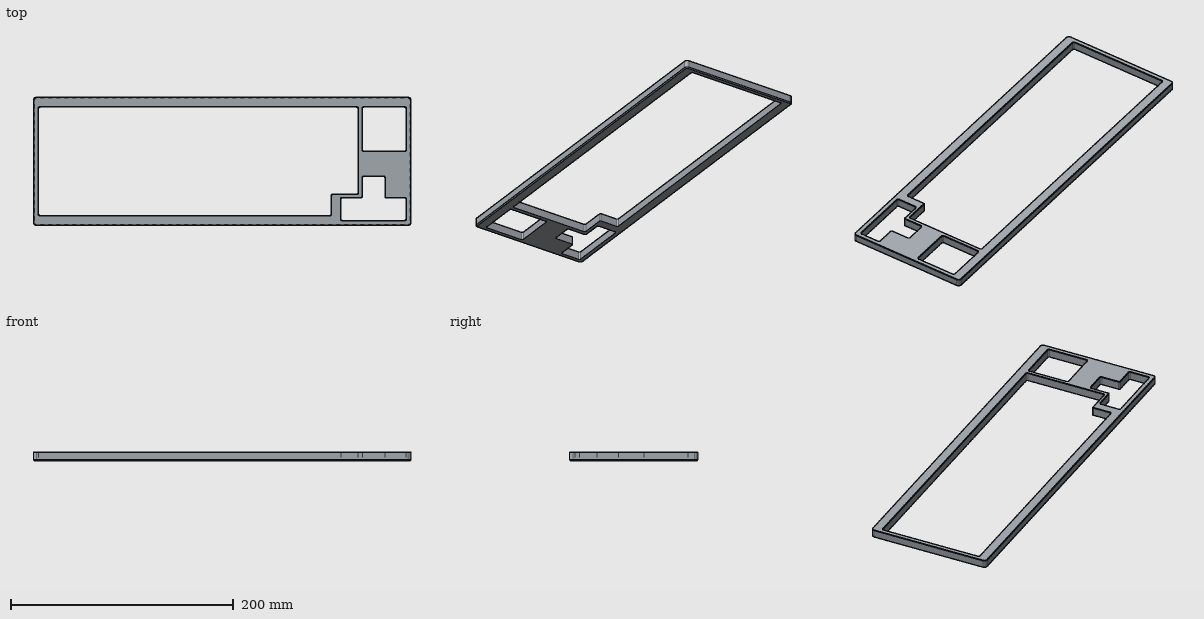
import cadquery as cq

length = 339.0
width = 115.3
thickness = 8.0
outer_radius = 3.0
bottom_chamfer = 1.0
top_chamfer = 0.5

corner_radius = 1.25
side_margin = 4.7
main_margin = 9.0
main_length = 286.5
step_length = 24.0
step_depth = 19.0
cluster_width = 39.0
cluster_depth = 39.5
arrow_margin = 4.7
arrow_length = 58.3
key_opening = 20.0

main_left = -length / 2 + side_margin
main_right = main_left + main_length
main_top = width / 2 - main_margin
main_bottom = -main_top
step_x = main_right - step_length
step_y = main_bottom + step_depth

cluster_right = length / 2 - side_margin
cluster_left = cluster_right - cluster_width
square_bottom = main_top - cluster_depth

arrow_left = cluster_right - arrow_length
arrow_bottom = -width / 2 + arrow_margin
arrow_top = arrow_bottom + cluster_depth
arrow_shoulder = arrow_bottom + key_opening
up_key_right = cluster_left + key_opening


def cutout(points):
    """Through-cutter with rounded vertical corners."""
    cutter = cq.Workplane("XY").polyline(points).close().extrude(thickness)
    return cutter.edges("|Z").fillet(corner_radius)


main_cutout = cutout([
    (main_left, main_top),
    (main_right, main_top),
    (main_right, step_y),
    (step_x, step_y),
    (step_x, main_bottom),
    (main_left, main_bottom),
])
square_cutout = cutout([
    (cluster_left, main_top),
    (cluster_right, main_top),
    (cluster_right, square_bottom),
    (cluster_left, square_bottom),
])
arrow_cutout = cutout([
    (arrow_left, arrow_bottom),
    (cluster_right, arrow_bottom),
    (cluster_right, arrow_shoulder),
    (up_key_right, arrow_shoulder),
    (up_key_right, arrow_top),
    (cluster_left, arrow_top),
    (cluster_left, arrow_shoulder),
    (arrow_left, arrow_shoulder),
])

plate = cq.Workplane("XY").box(length, width, thickness, centered=(True, True, False))
plate = plate.edges("|Z").fillet(outer_radius)
plate = plate.faces("<Z").edges().chamfer(bottom_chamfer)

for cutter in (main_cutout, square_cutout, arrow_cutout):
    plate = plate.cut(cutter)
result = plate.faces(">Z").edges().chamfer(top_chamfer)